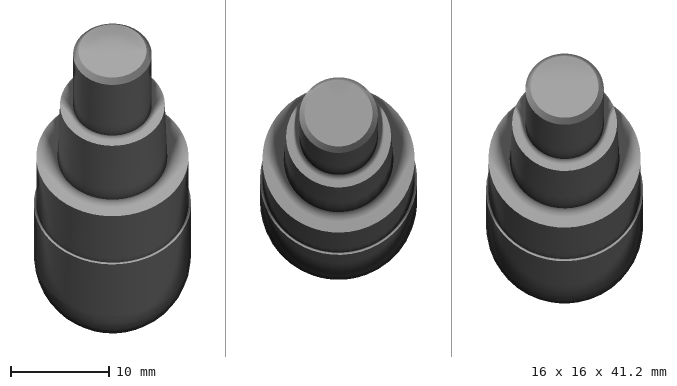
import cadquery as cq

tip_diameter = 8.0
taper_top_diameter = 10.7
taper_base_diameter = 11.18
collar_diameter = 15.5
knob_diameter = 16.0

total_length = 41.25
tip_length = 8.8
taper_length = 8.45
collar_length = 7.55
tip_chamfer = 0.55

taper_top = total_length - tip_length
collar_top = taper_top - taper_length
knob_top = collar_top - collar_length


def revolve_about_z(profile):
    """Turn a closed half profile in the XZ plane into a solid of revolution."""
    return profile.revolve(360, (0, 0, 0), (0, 1, 0))


def make_knob():
    """Cylindrical knob with a hemispherical lower end."""
    radius = knob_diameter / 2
    diagonal = radius * 0.5**0.5
    profile = (
        cq.Workplane("XZ")
        .threePointArc((diagonal, radius - diagonal), (radius, radius))
        .lineTo(radius, knob_top)
        .lineTo(0, knob_top)
        .close()
    )
    return revolve_about_z(profile)


def make_plunger():
    """Collar, tapered shank and chamfered tip, standing on the knob."""
    collar_radius = collar_diameter / 2
    tip_radius = tip_diameter / 2
    profile = (
        cq.Workplane("XZ")
        .moveTo(0, knob_top)
        .lineTo(collar_radius, knob_top)
        .lineTo(collar_radius, collar_top)
        .lineTo(taper_base_diameter / 2, collar_top)
        .lineTo(taper_top_diameter / 2, taper_top)
        .lineTo(tip_radius, taper_top)
        .lineTo(tip_radius, total_length - tip_chamfer)
        .lineTo(tip_radius - tip_chamfer, total_length)
        .lineTo(0, total_length)
        .close()
    )
    return revolve_about_z(profile)


knob = make_knob()
plunger = make_plunger()

result = cq.Compound.makeCompound([knob.val(), plunger.val()])